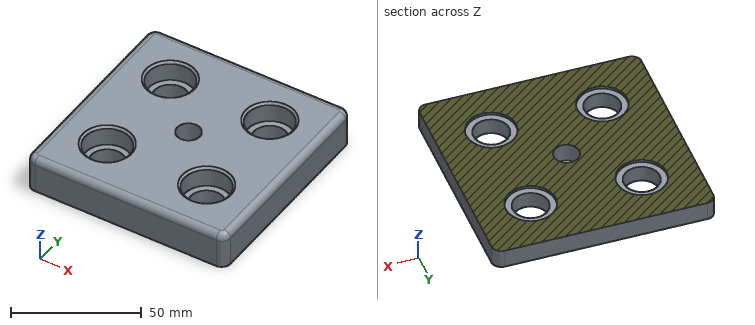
import cadquery as cq

side = 90.0
height = 16.0
corner_radius = 4.0
top_edge_radius = 3.0

center_hole_diameter = 10.2
bolt_hole_diameter = 14.5
counterbore_diameter = 20.0
counterbore_depth = 9.0
rim_chamfer = 1.0
bolt_spacing = side / 2


def rounded_plate():
    """Square plate on Z = 0 with rounded corners and a rounded top edge."""
    plate = cq.Workplane("XY").rect(side, side).extrude(height)
    plate = plate.edges("|Z").fillet(corner_radius)
    return plate.faces(">Z").edges().fillet(top_edge_radius)


def bolt_hole_cutter():
    """Revolved stepped hole: through bore, counterbore and chamfered rim."""
    bore_radius = bolt_hole_diameter / 2
    counterbore_radius = counterbore_diameter / 2
    floor_z = height - counterbore_depth
    profile = (
        cq.Workplane("XZ")
        .lineTo(bore_radius, 0)
        .lineTo(bore_radius, floor_z)
        .lineTo(counterbore_radius, floor_z)
        .lineTo(counterbore_radius, height - rim_chamfer)
        .lineTo(counterbore_radius + rim_chamfer, height)
        .lineTo(0, height)
        .close()
    )
    return profile.revolve(360, (0, 0, 0), (0, 1, 0))


result = rounded_plate()
result = result.cut(cq.Workplane("XY").circle(center_hole_diameter / 2).extrude(height))

for x_sign in (-1, 1):
    for y_sign in (-1, 1):
        center = (x_sign * bolt_spacing / 2, y_sign * bolt_spacing / 2, 0)
        result = result.cut(bolt_hole_cutter().translate(center))